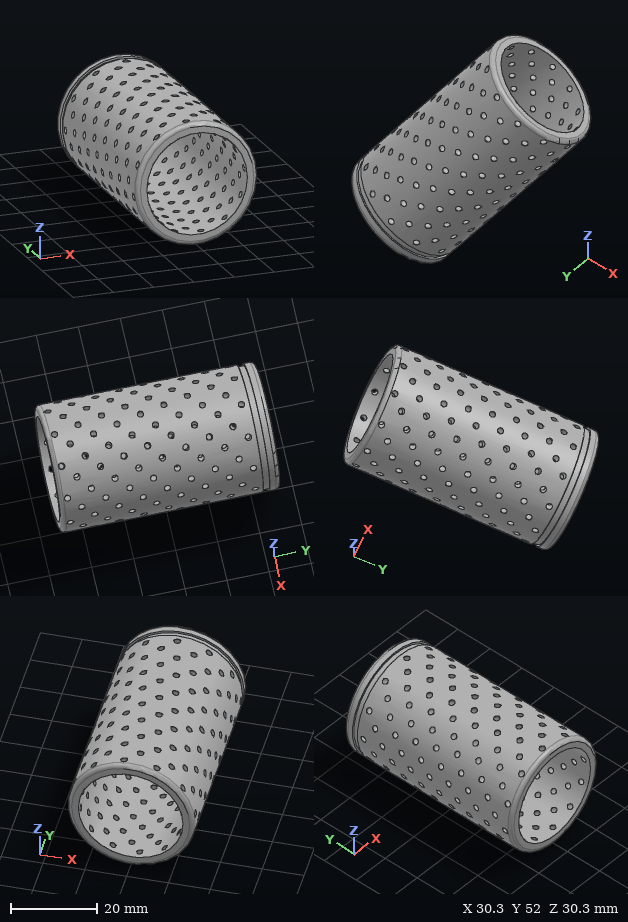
import cadquery as cq

LENGTH = 52.0
OUTER_DIAMETER = 30.3
BORE_DIAMETER = 25.0
RIM_FILLET = 1.05

GROOVE_OFFSET = 2.5
GROOVE_WIDTH = 1.55
GROOVE_DEPTH = 0.5

BALL_DIAMETER = 3.0
BALLS_PER_RING = 12

RING_PAIRS = 8
FIRST_RING_OFFSET = 6.0
RINGS_SPAN = 44.0
PAIR_TURN = 34.9
SECOND_RING_OFFSET = 3.0
SECOND_RING_TURN = 18.0

END_Y = LENGTH / 2
MID_WALL_RADIUS = (OUTER_DIAMETER + BORE_DIAMETER) / 4
BALL_STEP = 360 / BALLS_PER_RING
PAIR_PITCH = (RINGS_SPAN - SECOND_RING_OFFSET) / (RING_PAIRS - 1)


def cylinder_along_y(diameter, length, end_y):
    """Cylinder on the Y axis that ends at end_y and reaches back towards -Y."""
    return cq.Workplane("XZ", origin=(0, end_y, 0)).circle(diameter / 2).extrude(length)


def sleeve():
    body = cylinder_along_y(OUTER_DIAMETER, LENGTH, END_Y).edges().fillet(RIM_FILLET)
    return body.cut(cylinder_along_y(BORE_DIAMETER, LENGTH, END_Y))


def retaining_groove():
    end_y = END_Y - GROOVE_OFFSET
    floor_diameter = OUTER_DIAMETER - 2 * GROOVE_DEPTH
    outside = cylinder_along_y(OUTER_DIAMETER, GROOVE_WIDTH, end_y)
    return outside.cut(cylinder_along_y(floor_diameter, GROOVE_WIDTH, end_y))


def ball_ring(y, turn):
    """Balls of one ring, the first one turned away from +Z by the given angle."""
    first_ball = cq.Workplane("XY").sphere(BALL_DIAMETER / 2).translate((0, y, MID_WALL_RADIUS)).val()
    axis_start = cq.Vector(0, 0, 0)
    axis_end = cq.Vector(0, 1, 0)
    return [first_ball.rotate(axis_start, axis_end, turn + i * BALL_STEP) for i in range(BALLS_PER_RING)]


def ball_seats():
    balls = []
    for pair in range(RING_PAIRS):
        y = END_Y - FIRST_RING_OFFSET - pair * PAIR_PITCH
        turn = pair * PAIR_TURN
        balls += ball_ring(y, turn)
        balls += ball_ring(y - SECOND_RING_OFFSET, turn + SECOND_RING_TURN)
    return cq.Workplane(cq.Compound.makeCompound(balls))


result = sleeve().cut(retaining_groove()).cut(ball_seats())